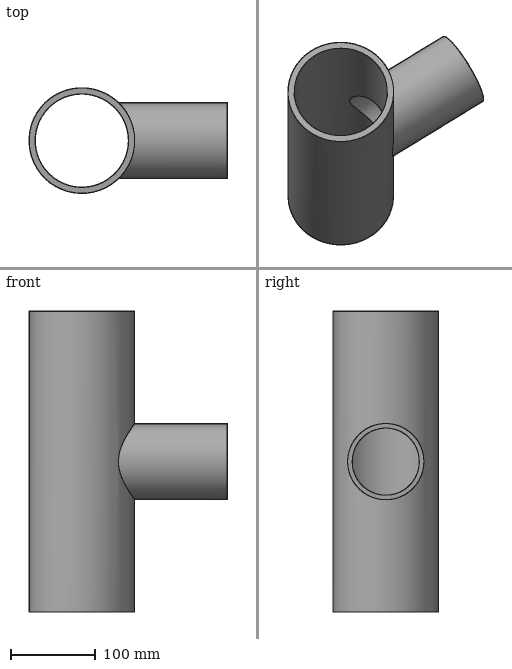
import cadquery as cq

main_height = 356.0
main_diameter = 125.0
main_wall = 7.5

branch_diameter = 90.0
branch_wall = branch_diameter * main_wall / main_diameter
overall_length = 234.5
branch_reach = overall_length - main_diameter / 2


def upright_cylinder(diameter):
    return cq.Workplane("XY").circle(diameter / 2).extrude(main_height)


def branch_cylinder(diameter):
    """Cylinder from the main axis out to the open end of the branch."""
    start = cq.Workplane("YZ", origin=(0, 0, main_height / 2))
    return start.circle(diameter / 2).extrude(branch_reach)


outside = upright_cylinder(main_diameter).union(branch_cylinder(branch_diameter))
main_bore = upright_cylinder(main_diameter - 2 * main_wall)
branch_bore = branch_cylinder(branch_diameter - 2 * branch_wall)

result = outside.cut(main_bore).cut(branch_bore)